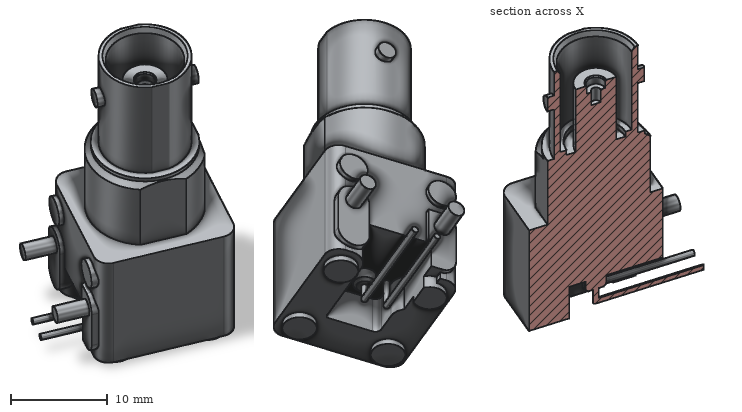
import cadquery as cq

BODY_WIDTH = 14.75
BODY_DEPTH = 15.3
BODY_HEIGHT = 14.0
CORNER_RADIUS = 1.6
FOOT_HEIGHT = 0.68
FOOT_DIAMETER = 3.55
MOUNT_OFFSET = 5.05
BODY_FRONT = -BODY_DEPTH / 2
BODY_TOP = FOOT_HEIGHT + BODY_HEIGHT

COLLAR_DIAMETER = 12.5
COLLAR_RIM_DIAMETER = 11.25
COLLAR_CHAMFER_Z = 22.47
COLLAR_RIM_Z = 23.05
COLLAR_TOP = 23.5
COLLAR_SIDE_FLAT = 5.73
COLLAR_BACK_FLAT = 5.55

BARREL_DIAMETER = 9.65
BARREL_FLAT = 4.73
BARREL_TOP = 35.55
LUG_DIAMETER = 2.0
LUG_REACH = 5.55
LUG_Z = 31.3

MOUTH_DIAMETER = 8.82
MOUTH_DEPTH = 0.57
BORE_DIAMETER = 8.15
BORE_FLOOR = 24.18
RECESS_DIAMETER = 6.72
RECESS_FLOOR = 23.5
INSULATOR_DIAMETER = 4.65
INSULATOR_TOP = 32.18
SOCKET_MOUTH_DIAMETER = 2.4
SOCKET_DIAMETER = 2.1
SOCKET_CHAMFER_DEPTH = 0.15
SOCKET_DEPTH = 1.05
CONTACT_HOLE_DIAMETER = 1.03
CONTACT_HOLE_DEPTH = 2.85

PAD_FACE = -8.18
BUTTON_DIAMETER = 3.15
BUTTON_Z = 11.77
PAD_TOP = 9.05
LEFT_PAD_RADIUS = 1.78
LEFT_PAD_BOTTOM = 1.25
RIGHT_PAD_RADIUS = 1.6
RIGHT_PAD_BOTTOM = 1.5
RIGHT_PAD_INNER_X = 3.5
POST_DIAMETER = 1.8
POST_Z = 7.08
POST_END = -11.63

POCKET_ROOF = 5.05
POCKET_SIDE = 3.02
POCKET_BACK = 3.02
POCKET_LEFT_FILLET = 0.3
POCKET_RIGHT_FILLET = 0.7
LEG_RADIUS = MOUNT_OFFSET - POCKET_SIDE
RIGHT_WALL_X = 3.8

PIN_Z = 1.92
PIN_END = -12.35
CENTRE_PIN_DIAMETER = 0.7
GROUND_PIN_DIAMETER = 0.68
GROUND_PIN_X = 2.52
PIN_SLEEVE_DIAMETER = 2.4
PIN_SLEEVE_BOTTOM = 3.6
PIN_SLEEVE_CHAMFER = 0.32
OVERLAP = 0.35


def box(x0, x1, y0, y1, z0, z1):
    return cq.Workplane("XY").box(x1 - x0, y1 - y0, z1 - z0, centered=False).translate((x0, y0, z0))


def upright(diameter, z0, z1, x=0.0, y=0.0):
    """Cylinder along Z."""
    return cq.Workplane("XY", origin=(x, y, z0)).circle(diameter / 2).extrude(z1 - z0)


def forward(diameter, x, z, y_back, y_front):
    """Cylinder along Y that ends at y_front."""
    return cq.Workplane("XZ", origin=(x, y_back, z)).circle(diameter / 2).extrude(y_back - y_front)


def make_housing():
    block = box(-BODY_WIDTH / 2, BODY_WIDTH / 2, BODY_FRONT, -BODY_FRONT, FOOT_HEIGHT, BODY_TOP)
    block = block.edges("|Z").fillet(CORNER_RADIUS)
    for x in (-MOUNT_OFFSET, MOUNT_OFFSET):
        for y in (-MOUNT_OFFSET, MOUNT_OFFSET):
            block = block.union(upright(FOOT_DIAMETER, 0, FOOT_HEIGHT + OVERLAP, x, y))
    return block


def make_collar():
    radius = COLLAR_DIAMETER / 2
    rim_radius = COLLAR_RIM_DIAMETER / 2
    collar = (
        cq.Workplane("XZ")
        .moveTo(0, BODY_TOP - OVERLAP)
        .lineTo(radius, BODY_TOP - OVERLAP)
        .lineTo(radius, COLLAR_CHAMFER_Z)
        .lineTo(rim_radius, COLLAR_RIM_Z)
        .lineTo(rim_radius, COLLAR_TOP)
        .lineTo(0, COLLAR_TOP)
        .close()
        .revolve(360, (0, 0, 0), (0, 1, 0))
    )
    flats = box(-COLLAR_SIDE_FLAT, COLLAR_SIDE_FLAT, -radius, COLLAR_BACK_FLAT, 0, COLLAR_TOP)
    return collar.intersect(flats)


def make_barrel():
    radius = BARREL_DIAMETER / 2
    barrel = upright(BARREL_DIAMETER, COLLAR_TOP - OVERLAP, BARREL_TOP)
    barrel = barrel.intersect(box(-BARREL_FLAT, BARREL_FLAT, -radius, radius, 0, BARREL_TOP))
    return barrel.union(forward(LUG_DIAMETER, 0, LUG_Z, LUG_REACH, -LUG_REACH))


def make_bore():
    """Everything removed from inside the barrel, down to the insulator and its socket."""
    mouth = (
        cq.Workplane("XY", origin=(0, 0, BARREL_TOP - MOUTH_DEPTH))
        .circle(BORE_DIAMETER / 2)
        .workplane(offset=MOUTH_DEPTH)
        .circle(MOUTH_DIAMETER / 2)
        .loft()
    )
    bore = upright(BORE_DIAMETER, BORE_FLOOR, BARREL_TOP)
    bore = bore.union(upright(RECESS_DIAMETER, RECESS_FLOOR, BARREL_TOP)).union(mouth)
    bore = bore.cut(upright(INSULATOR_DIAMETER, RECESS_FLOOR, INSULATOR_TOP))
    socket_chamfer = (
        cq.Workplane("XY", origin=(0, 0, INSULATOR_TOP - SOCKET_CHAMFER_DEPTH))
        .circle(SOCKET_DIAMETER / 2)
        .workplane(offset=SOCKET_CHAMFER_DEPTH)
        .circle(SOCKET_MOUTH_DIAMETER / 2)
        .loft()
    )
    bore = bore.union(socket_chamfer)
    bore = bore.union(upright(SOCKET_DIAMETER, INSULATOR_TOP - SOCKET_DEPTH, INSULATOR_TOP))
    return bore.union(upright(CONTACT_HOLE_DIAMETER, INSULATOR_TOP - CONTACT_HOLE_DEPTH, INSULATOR_TOP))


def make_left_pad(y_back):
    height = PAD_TOP - LEFT_PAD_BOTTOM
    return (
        cq.Workplane("XZ", origin=(-MOUNT_OFFSET, y_back, LEFT_PAD_BOTTOM + height / 2))
        .slot2D(height, 2 * LEFT_PAD_RADIUS, 90)
        .extrude(y_back - PAD_FACE)
    )


def make_right_pad(y_back):
    """Pad rounded on its outer side only, its lower part trimmed back to the pocket wall."""
    outer_x = MOUNT_OFFSET + RIGHT_PAD_RADIUS
    pad = box(RIGHT_PAD_INNER_X, outer_x, PAD_FACE, y_back, RIGHT_PAD_BOTTOM, PAD_TOP)
    pad = pad.edges("|Y and >X").fillet(RIGHT_PAD_RADIUS)
    return pad.cut(box(0, RIGHT_WALL_X, PAD_FACE, y_back, 0, POCKET_ROOF))


def make_pocket():
    """Pocket with filleted back corners; its left front corner is rounded over to the front face."""
    pocket = box(-POCKET_SIDE, POCKET_SIDE, BODY_FRONT, POCKET_BACK, 0, POCKET_ROOF)
    pocket = pocket.edges("|Z and >Y and <X").fillet(POCKET_LEFT_FILLET)
    pocket = pocket.edges("|Z and >Y and >X").fillet(POCKET_RIGHT_FILLET)
    left_y = BODY_FRONT + LEG_RADIUS
    left_corner = box(-MOUNT_OFFSET, -POCKET_SIDE, BODY_FRONT, left_y, FOOT_HEIGHT, POCKET_ROOF)
    left_corner = left_corner.cut(upright(2 * LEG_RADIUS, 0, POCKET_ROOF, -MOUNT_OFFSET, left_y))
    return pocket.union(left_corner)


def make_right_widening():
    """Widening of the pocket up to the flat right wall, ending at a round column beside the axis."""
    widening = box(0, RIGHT_WALL_X, BODY_FRONT, 0, 0, POCKET_ROOF)
    return widening.cut(upright(2 * LEG_RADIUS, 0, POCKET_ROOF, MOUNT_OFFSET))


def make_right_leg_rounding():
    """Rounds the lower front of the right leg flush with its foot, up to the pad."""
    corner = box(RIGHT_WALL_X, MOUNT_OFFSET, BODY_FRONT, -MOUNT_OFFSET, FOOT_HEIGHT, RIGHT_PAD_BOTTOM)
    return corner.cut(upright(FOOT_DIAMETER, 0, POCKET_ROOF, MOUNT_OFFSET, -MOUNT_OFFSET))


def make_pin(diameter, x):
    """Pin that drops from the pocket roof and turns forward."""
    drop = upright(diameter, PIN_Z, POCKET_ROOF + OVERLAP, x)
    elbow = cq.Workplane("XY").sphere(diameter / 2).translate((x, 0, PIN_Z))
    return drop.union(elbow).union(forward(diameter, x, PIN_Z, 0, PIN_END))


def make_pin_sleeve():
    sleeve = upright(PIN_SLEEVE_DIAMETER, PIN_SLEEVE_BOTTOM, POCKET_ROOF + OVERLAP)
    return sleeve.faces("<Z").chamfer(PIN_SLEEVE_CHAMFER)


result = make_housing().union(make_collar()).union(make_barrel()).cut(make_bore())
result = result.cut(make_pocket()).cut(make_right_widening()).cut(make_right_leg_rounding())
result = result.union(make_left_pad(BODY_FRONT + LEG_RADIUS)).union(make_right_pad(-MOUNT_OFFSET))
for mount_x in (-MOUNT_OFFSET, MOUNT_OFFSET):
    result = result.union(forward(BUTTON_DIAMETER, mount_x, BUTTON_Z, -MOUNT_OFFSET, PAD_FACE))
    result = result.union(forward(POST_DIAMETER, mount_x, POST_Z, -MOUNT_OFFSET, POST_END))
result = result.union(make_pin_sleeve())
result = result.union(make_pin(CENTRE_PIN_DIAMETER, 0)).union(make_pin(GROUND_PIN_DIAMETER, GROUND_PIN_X))